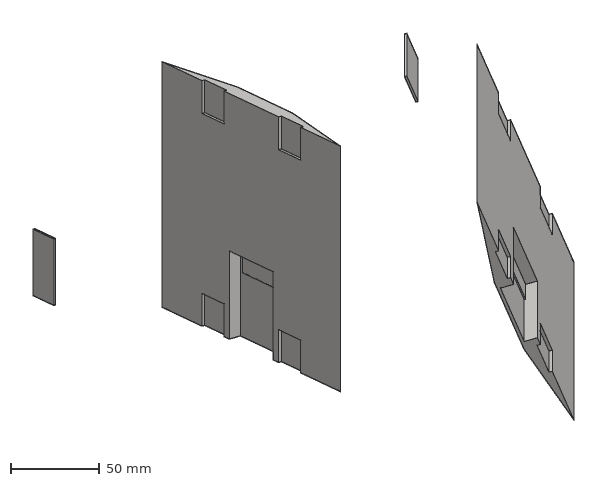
import cadquery as cq

plate_width = 163.7
plate_height = 150.0
plate_thickness = 10.0
back_flat_width = 50.1

pocket_size = 20.0
pocket_depth = 2.0
pocket_spacing = 70.1

recess_width = 40.0
recess_height = 53.8
recess_depth = 8.0
recess_depth_at_ledge = 7.0
ledge_width = 37.0
ledge_height = 14.0

card_width = 19.2
card_height = 40.5
card_thickness = 1.5
overall_width = 281.7
overall_height = 180.0

card_left = plate_width / 2 - overall_width
card_bottom = plate_height - overall_height


def block(left, front, bottom, width, depth, height):
    """Box given by its lowest corner and its size along X, Y and Z."""
    return cq.Workplane("XY").box(width, depth, height, centered=False).translate((left, front, bottom))


def door_recess():
    """Volume removed for the door recess, leaving a raised ledge at its top right."""
    recess = block(-recess_width / 2, 0, 0, recess_width, recess_depth, recess_height)
    ledge = block(
        recess_width / 2 - ledge_width,
        recess_depth_at_ledge,
        recess_height - ledge_height,
        ledge_width,
        recess_depth - recess_depth_at_ledge,
        ledge_height,
    )
    return recess.cut(ledge)


def wedge_plate():
    """Tapered plate with four corner pockets and the door recess."""
    plate = (
        cq.Workplane("XY")
        .polyline([
            (-plate_width / 2, 0),
            (plate_width / 2, 0),
            (back_flat_width / 2, plate_thickness),
            (-back_flat_width / 2, plate_thickness),
        ])
        .close()
        .extrude(plate_height)
    )
    for centre_x in (-pocket_spacing / 2, pocket_spacing / 2):
        for bottom in (0, plate_height - pocket_size):
            left = centre_x - pocket_size / 2
            plate = plate.cut(block(left, 0, bottom, pocket_size, pocket_depth, pocket_size))
    return plate.cut(door_recess())


def loose_card():
    """Thin rectangular card."""
    return block(card_left, 0, card_bottom, card_width, card_thickness, card_height)


plate = wedge_plate()
card = loose_card()
result = cq.Compound.makeCompound([plate.val(), card.val()])